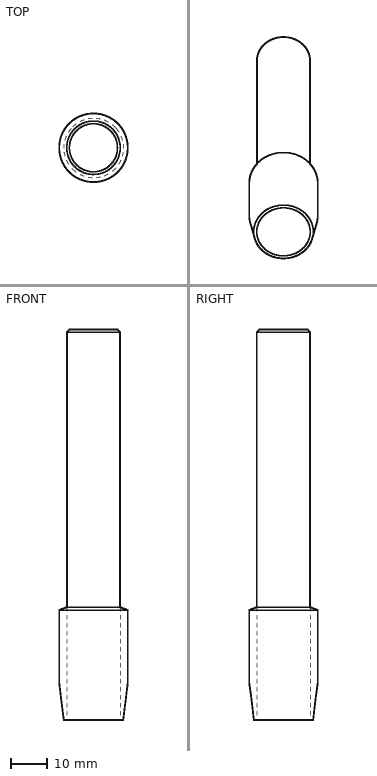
import cadquery as cq

total_length = 108.0

sleeve_diameter = 19.05
tail_diameter = 16.5
tail_length = 10.3
sleeve_shoulder_height = 30.4
sleeve_top_height = 31.25

rod_diameter = 14.8
rod_chamfer = 0.75


def make_rod():
    """Straight round rod running the full length, chamfered at its upper end."""
    rod = cq.Workplane("XY").circle(rod_diameter / 2).extrude(total_length)
    return rod.faces(">Z").chamfer(rod_chamfer)


def make_sleeve():
    """Sleeve around the lower end of the rod, with a sloped shoulder and a tapered tail."""
    return (
        cq.Workplane("XZ")
        .moveTo(rod_diameter / 2, 0)
        .lineTo(tail_diameter / 2, 0)
        .lineTo(sleeve_diameter / 2, tail_length)
        .lineTo(sleeve_diameter / 2, sleeve_shoulder_height)
        .lineTo(rod_diameter / 2, sleeve_top_height)
        .close()
        .revolve(360, (0, 0, 0), (0, 1, 0))
    )


rod = make_rod()
sleeve = make_sleeve()

result = cq.Compound.makeCompound([rod.val(), sleeve.val()])